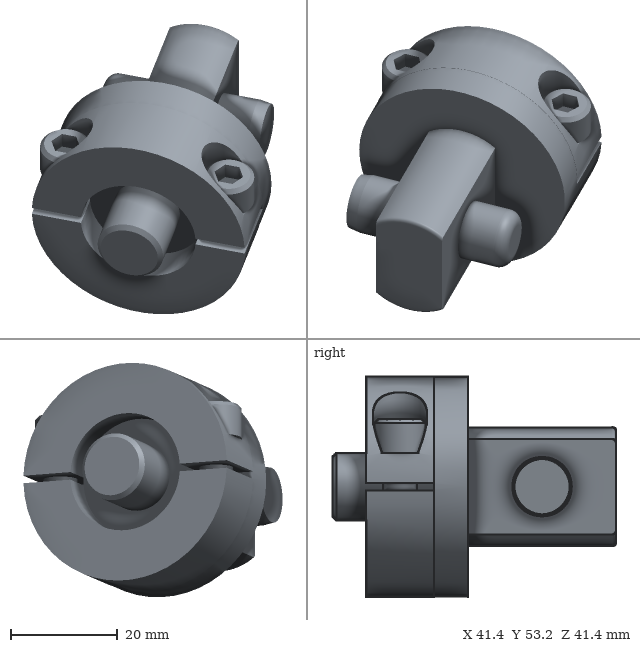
import cadquery as cq

CLAMP_DIAMETER = 41.4
CLAMP_LENGTH = 12.7
BORE_DIAMETER = 22.3
SPLIT_WIDTH = 1.45

FLANGE_DIAMETER = 41.3
FLANGE_LENGTH = 6.4

HUB_LENGTH = CLAMP_LENGTH / 2

SPIGOT_DIAMETER = 12.7
SPIGOT_PROTRUSION = 6.35
SPIGOT_CHAMFER = 0.8

SHANK_DIAMETER = BORE_DIAMETER
SHANK_LENGTH = 27.75
SHANK_WIDTH = 13.3
SHANK_END_ROUND = 0.75

PIN_DIAMETER = 11.1
PIN_LENGTH = 31.8
PIN_Y = 20.25
PIN_ROUND = 2.35
PIN_TAPER_LENGTH = 2.25
PIN_TAPER_DEPTH = 0.35

SCREW_X = 15.85
SCREW_Y = -CLAMP_LENGTH / 2
SCREW_DIAMETER = 6.4
HEAD_DIAMETER = 9.6
HEAD_HEIGHT = 6.35
HEAD_CHAMFER = 0.75
HEAD_SEAT_Z = 6.35
COUNTERBORE_DIAMETER = 10.2
SOCKET_ACROSS_CORNERS = 5.55
SOCKET_DEPTH = 3.2


def cylinder_y(diameter, start, end):
    """Solid cylinder on the Y axis between two Y positions."""
    plane = cq.Workplane("XZ", origin=(0, start, 0))
    return plane.circle(diameter / 2).extrude(start - end)


def cylinder_z(diameter, x, start, height):
    """Upright cylinder on a screw axis."""
    plane = cq.Workplane("XY", origin=(x, SCREW_Y, start))
    return plane.circle(diameter / 2).extrude(height)


def make_clamp():
    ring = cylinder_y(CLAMP_DIAMETER, -CLAMP_LENGTH, 0)
    ring = ring.cut(cylinder_y(BORE_DIAMETER, -CLAMP_LENGTH, 0))
    split = cq.Workplane("XY").box(CLAMP_DIAMETER, CLAMP_LENGTH, SPLIT_WIDTH)
    ring = ring.cut(split.translate((0, -CLAMP_LENGTH / 2, 0)))
    for x in (-SCREW_X, SCREW_X):
        ring = ring.cut(cylinder_z(COUNTERBORE_DIAMETER, x, HEAD_SEAT_Z, CLAMP_DIAMETER / 2))
    return ring


def make_spigot():
    front = -CLAMP_LENGTH - SPIGOT_PROTRUSION
    return cylinder_y(SPIGOT_DIAMETER, front, -HUB_LENGTH).faces("<Y").chamfer(SPIGOT_CHAMFER)


def make_shank():
    end = FLANGE_LENGTH + SHANK_LENGTH
    shank = cylinder_y(SHANK_DIAMETER, FLANGE_LENGTH, end).faces(">Y").fillet(SHANK_END_ROUND)
    flats = cq.Workplane("XY").box(SHANK_WIDTH, 2 * end, SHANK_DIAMETER)
    return shank.intersect(flats)


def make_pin():
    """Pin along X, rounded at the -X end and slightly tapered at the +X end."""
    radius = PIN_DIAMETER / 2
    start = -PIN_LENGTH / 2
    end = PIN_LENGTH / 2
    taper_start = end - PIN_TAPER_LENGTH
    profile = (
        cq.Workplane("XY")
        .moveTo(start, 0)
        .lineTo(start, radius - PIN_ROUND)
        .tangentArcPoint((start + PIN_ROUND, radius), relative=False)
        .lineTo(taper_start, radius)
        .lineTo(end, radius - PIN_TAPER_DEPTH)
        .lineTo(end, 0)
        .close()
    )
    return profile.revolve(360, (0, 0, 0), (1, 0, 0)).translate((0, PIN_Y, 0))


def make_screw(x):
    """Socket-head screw whose shank ends at the lower mirror of the head seat."""
    shank = cylinder_z(SCREW_DIAMETER, x, -HEAD_SEAT_Z, 2 * HEAD_SEAT_Z)
    head = cylinder_z(HEAD_DIAMETER, x, HEAD_SEAT_Z, HEAD_HEIGHT)
    head = head.faces(">Z").chamfer(HEAD_CHAMFER)
    socket = cq.Workplane("XY", origin=(x, SCREW_Y, HEAD_SEAT_Z + HEAD_HEIGHT))
    socket = socket.polygon(6, SOCKET_ACROSS_CORNERS).extrude(-SOCKET_DEPTH)
    return shank.union(head.cut(socket))


result = make_clamp().union(cylinder_y(FLANGE_DIAMETER, 0, FLANGE_LENGTH))
result = result.union(cylinder_y(BORE_DIAMETER, -HUB_LENGTH, 0))
result = result.union(make_spigot())
result = result.union(make_shank())
result = result.union(make_pin())
for screw_x in (-SCREW_X, SCREW_X):
    result = result.union(make_screw(screw_x))